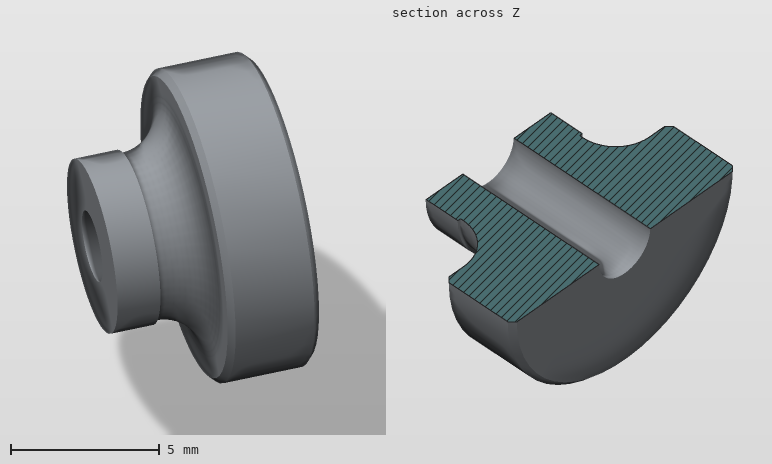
import cadquery as cq

disc_diameter = 10.8
disc_thickness = 3.2
disc_chamfer = 0.22
hub_diameter = 6.0
hub_length = 1.5
neck_diameter = 5.75
total_length = 6.4
fillet_radius = 1.59
bore_diameter = 2.45

disc_radius = disc_diameter / 2
hub_radius = hub_diameter / 2
neck_radius = neck_diameter / 2
disc_front = total_length - disc_thickness
fillet_start = disc_front - fillet_radius
fillet_outer_radius = neck_radius + fillet_radius


def turned_body():
    """Revolve the half outline, with the hub face at Y = 0."""
    outline = (
        cq.Workplane("XY")
        .lineTo(hub_radius, 0)
        .lineTo(hub_radius, hub_length)
        .lineTo(neck_radius, hub_length)
        .lineTo(neck_radius, fillet_start)
        .radiusArc((fillet_outer_radius, disc_front), fillet_radius)
        .lineTo(disc_radius - disc_chamfer, disc_front)
        .lineTo(disc_radius, disc_front + disc_chamfer)
        .lineTo(disc_radius, total_length - disc_chamfer)
        .lineTo(disc_radius - disc_chamfer, total_length)
        .lineTo(0, total_length)
        .close()
    )
    return outline.revolve(360, (0, 0, 0), (0, 1, 0))


def through_bore():
    """Cylinder along +Y that runs the full length of the knob."""
    return cq.Workplane("XZ").circle(bore_diameter / 2).extrude(-total_length)


result = turned_body().cut(through_bore())